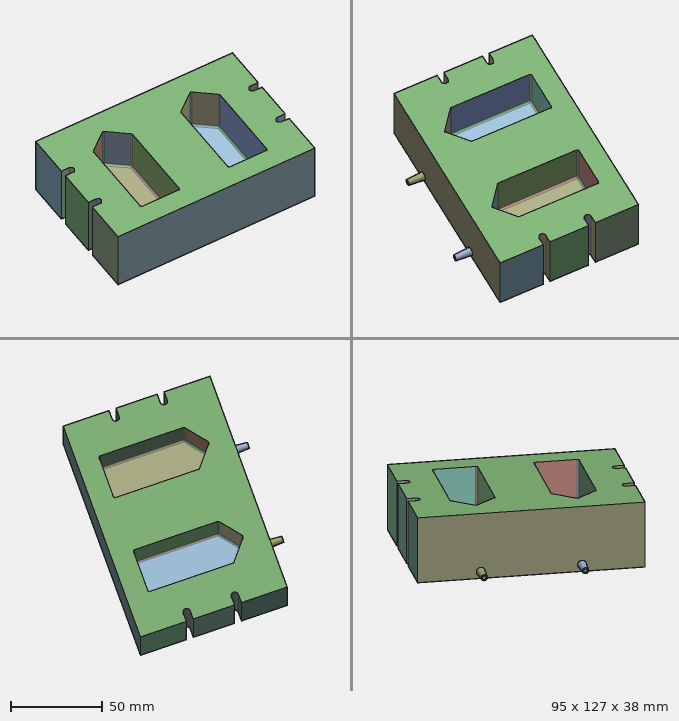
import cadquery as cq

block_length = 85.2
block_width = 127.0
block_height = 38.0
block_left = -block_length / 2

slot_width = 4.1
slot_depth = 7.0
slot_pitch = 28.0

cavity_pitch = 56.5
cavity_tip_x = block_left + 13.0
cavity_length = 59.7
cavity_point_length = 10.2
cavity_width = 25.1
cavity_depth = 26.0
cavity_fillet = 1.0

nozzle_length = 9.8
nozzle_root_diameter = 5.0
nozzle_tip_diameter = 3.5
nozzle_bore = 2.0
nozzle_height = 4.1


def make_slot(x, side):
    """Full-height cutter with a round inner end; side is +1 or -1 along Y."""
    radius = slot_width / 2
    edge_y = side * block_width / 2
    arc_start_y = edge_y - side * (slot_depth - radius)
    arc_end_y = edge_y - side * slot_depth
    return (
        cq.Workplane("XY")
        .moveTo(x - radius, edge_y)
        .lineTo(x - radius, arc_start_y)
        .threePointArc((x, arc_end_y), (x + radius, arc_start_y))
        .lineTo(x + radius, edge_y)
        .close()
        .extrude(block_height)
    )


def make_cavity(y):
    """House-shaped cutter with rounded corners and a rounded floor edge."""
    half_width = cavity_width / 2
    shoulder_x = cavity_tip_x + cavity_point_length
    end_x = cavity_tip_x + cavity_length
    outline = [
        (cavity_tip_x, y),
        (shoulder_x, y - half_width),
        (end_x, y - half_width),
        (end_x, y + half_width),
        (shoulder_x, y + half_width),
    ]
    return (
        cq.Workplane("XY")
        .workplane(offset=block_height - cavity_depth)
        .polyline(outline)
        .close()
        .extrude(cavity_depth)
        .edges("|Z or <Z")
        .fillet(cavity_fillet)
    )


def nozzle_plane(y):
    """Workplane on the -X side, facing outward along the nozzle axis."""
    return cq.Workplane(cq.Plane((block_left, y, nozzle_height), (0, 1, 0), (-1, 0, 0)))


def make_nozzle(y):
    """Hollow truncated cone, narrowing away from the block."""
    cone = (
        nozzle_plane(y)
        .circle(nozzle_root_diameter / 2)
        .workplane(offset=nozzle_length)
        .circle(nozzle_tip_diameter / 2)
        .loft()
    )
    bore = nozzle_plane(y).circle(nozzle_bore / 2).extrude(nozzle_length)
    return cone.cut(bore)


result = cq.Workplane("XY").box(block_length, block_width, block_height, centered=(True, True, False))

for slot_x in (-slot_pitch / 2, slot_pitch / 2):
    for slot_side in (-1, 1):
        result = result.cut(make_slot(slot_x, slot_side))

for cavity_y in (-cavity_pitch / 2, cavity_pitch / 2):
    result = result.cut(make_cavity(cavity_y))
    result = result.union(make_nozzle(cavity_y))